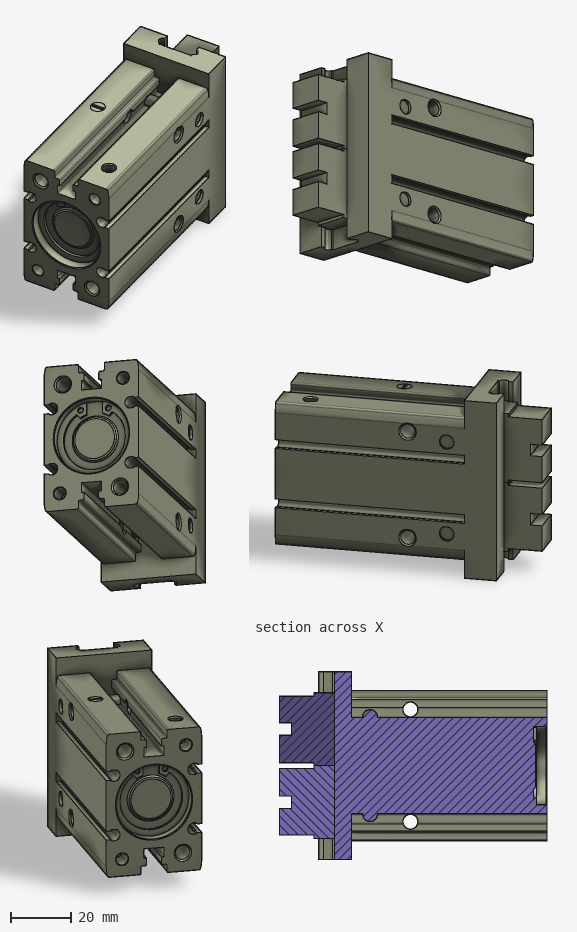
import cadquery as cq
TOTAL_LENGTH = 89.2
BODY_WIDTH = 33.0
BODY_HEIGHT = 50.2
BODY_LENGTH = 65.1

HEAD_HEIGHT = 62.6
HEAD_FRONT = 76.1

CORNER_START_Z = 21.5
CORNER_BULGE = (16.38, 23.1)
CORNER_END = (16.1, 24.5)
CORNER_TOP_X = 15.3
CORNER_RADIUS = 0.8

SLOT_MOUTH_WIDTH = 9.0
SLOT_NECK_WIDTH = 5.15
SLOT_FLOOR_WIDTH = 6.9
SLOT_LEDGE_Z = 22.1
SLOT_NECK_Z = 19.45
SLOT_FLOOR_Z = 16.1
SLOT_FILLET = 0.55
SLOT_FLOOR_FILLET = 0.3

GROOVE_DIAMETER = 3.95
GROOVE_Z = 10.45
GROOVE_CENTRE_X = 13.7
GROOVE_FLAT_END_X = 14.5
GROOVE_MOUTH_WIDTH = 3.1

PIN_DIAMETER = 5.0
PIN_Y = 59.0
PIN_Z = 16.17
PIN_RECESS = 1.0

M6_CORE = 4.92
M6_MOUTH = 6.0
M5_CORE = 4.13
M5_MOUTH = 5.0
SIDE_HOLE_Y = 45.55
SIDE_HOLE_Z = 18.7
REAR_M6_SPOT = (-9.95, 18.6)
REAR_M5_SPOT = (11.0, 19.1)
REAR_M5_MOUTH = 4.5
REAR_M6_DEPTH = 12.0
REAR_M5_DEPTH = 8.0
PORT_X = 10.2
PORT_Y = 10.6
PORT_DEPTH = 8.0

SCREW_DIAMETER = 5.0
SCREW_LENGTH = 5.0
SCREW_X = -10.2
SCREW_Y = 37.6
SCREW_SLOT_LENGTH = 4.0
SCREW_SLOT_WIDTH = 0.9
SCREW_SLOT_DEPTH = 1.0

BORE_DIAMETER = 26.0
BORE_CHAMFER = 0.3
BORE_DEPTH = 4.5
CAP_BASE_RADIUS = 8.05
CAP_EDGE_RADIUS = 7.5
CAP_FACE_RADIUS = 6.9
CAP_HEIGHT = 0.75
CAP_CHAMFER_HEIGHT = 0.25
RING_THICKNESS = 1.0
RING_INNER_DIAMETER = 21.55
RING_GAP = 5.65
EAR_INNER_DIAMETER = 18.0
EAR_TIP = (5.07, 7.56)
EAR_ROOT = (6.35, 8.98)
EAR_HOLE_DIAMETER = 2.0
EAR_HOLE_SPOT = (4.84, 10.18)

GUIDE_WIDTH = 12.3
GUIDE_FLOOR_Y = 70.85
GUIDE_RACE_Y = 72.95
GUIDE_RACE_DIAMETER = 3.0
GUIDE_RACE_INSET = 0.15
RIDGE_END_DIAMETER = 2.5
RIDGE_END_INSET = 0.5
RIDGE_END_LENGTH = 1.0

RAIL_FRONT = 77.7
RAIL_END_Z = 24.3
RAIL_CHAMFER = 0.3
FINGER_START_Z = 0.95
FINGER_END_Z = 23.2
NOTCH_Z = 12.2
NOTCH_WIDTH = 4.05
NOTCH_DEPTH = 4.0


def rear_plane(y):
    """Plane across the gripper at y; negative extrusions run towards the jaws."""
    return cq.Workplane("XZ", origin=(0, y, 0))


def box_between(low, high):
    """Box between two opposite corners."""
    size = [b - a for a, b in zip(low, high)]
    return cq.Workplane("XY").box(*size, centered=False).translate(low)


def chamfered_drill(start, direction, core, mouth, depth):
    """Drill with a 45 degree countersink at its start."""
    start = cq.Vector(*start)
    direction = cq.Vector(*direction)
    sink = (mouth - core) / 2
    drill = cq.Solid.makeCylinder(core / 2, depth, start, direction)
    cone = cq.Solid.makeCone(mouth / 2, core / 2, sink, start, direction)
    return cq.Workplane(drill.fuse(cone))


def mirrored_copies(shape):
    """The shape and its mirror images in X, in Z and in both."""
    pair = shape.union(shape.mirror("YZ"))
    return pair.union(pair.mirror("XY"))


def body_block():
    half_width = BODY_WIDTH / 2
    half_height = BODY_HEIGHT / 2
    quarter = (
        rear_plane(0)
        .lineTo(half_width, 0)
        .lineTo(half_width, CORNER_START_Z)
        .threePointArc(CORNER_BULGE, CORNER_END)
        .radiusArc((CORNER_TOP_X, half_height), -CORNER_RADIUS)
        .lineTo(0, half_height)
        .close()
        .extrude(-BODY_LENGTH)
    )
    return mirrored_copies(quarter)


def head_block():
    return box_between(
        (-BODY_WIDTH / 2, BODY_LENGTH, -HEAD_HEIGHT / 2),
        (BODY_WIDTH / 2, HEAD_FRONT, HEAD_HEIGHT / 2),
    )


def top_slot():
    mouth = SLOT_MOUTH_WIDTH / 2
    neck = SLOT_NECK_WIDTH / 2
    floor = SLOT_FLOOR_WIDTH / 2
    top = BODY_HEIGHT / 2
    edge = SLOT_FILLET
    corner = SLOT_FLOOR_FILLET
    half = (
        rear_plane(0)
        .moveTo(0, SLOT_FLOOR_Z)
        .lineTo(floor - corner, SLOT_FLOOR_Z)
        .radiusArc((floor, SLOT_FLOOR_Z + corner), -corner)
        .lineTo(floor, SLOT_NECK_Z - corner)
        .radiusArc((floor - corner, SLOT_NECK_Z), -corner)
        .lineTo(neck, SLOT_NECK_Z)
        .lineTo(neck, SLOT_LEDGE_Z - edge)
        .radiusArc((neck + edge, SLOT_LEDGE_Z), edge)
        .lineTo(mouth - edge, SLOT_LEDGE_Z)
        .radiusArc((mouth, SLOT_LEDGE_Z + edge), -edge)
        .lineTo(mouth, top - edge)
        .radiusArc((mouth + edge, top), edge)
        .lineTo(0, top)
        .close()
        .extrude(-BODY_LENGTH)
    )
    return half.union(half.mirror("YZ"))


def side_grooves():
    side = BODY_WIDTH / 2
    half_mouth = GROOVE_MOUTH_WIDTH / 2
    round_end = rear_plane(0).center(GROOVE_CENTRE_X, GROOVE_Z).circle(GROOVE_DIAMETER / 2)
    groove = round_end.extrude(-BODY_LENGTH)
    parallel = box_between(
        (GROOVE_CENTRE_X, 0, GROOVE_Z - GROOVE_DIAMETER / 2),
        (GROOVE_FLAT_END_X, BODY_LENGTH, GROOVE_Z + GROOVE_DIAMETER / 2),
    )
    mouth = box_between(
        (GROOVE_CENTRE_X, 0, GROOVE_Z - half_mouth),
        (side, BODY_LENGTH, GROOVE_Z + half_mouth),
    )
    return mirrored_copies(groove.union(parallel).union(mouth))


def cross_cylinder(diameter, x_low, x_high, y, z):
    """Cylinder along X."""
    start = cq.Vector(x_low, y, z)
    return cq.Workplane(cq.Solid.makeCylinder(diameter / 2, x_high - x_low, start, cq.Vector(1, 0, 0)))


def add_lever_pins(housing):
    side = BODY_WIDTH / 2
    pin_end = side - PIN_RECESS
    for z in (PIN_Z, -PIN_Z):
        housing = housing.union(cross_cylinder(PIN_DIAMETER, -pin_end, pin_end, PIN_Y, z))
        housing = housing.cut(cross_cylinder(PIN_DIAMETER, -side, -pin_end, PIN_Y, z))
        housing = housing.cut(cross_cylinder(PIN_DIAMETER, pin_end, side, PIN_Y, z))
    return housing


def drill_holes(housing):
    half_width = BODY_WIDTH / 2
    for z in (SIDE_HOLE_Z, -SIDE_HOLE_Z):
        for side in (1, -1):
            start = (side * half_width, SIDE_HOLE_Y, z)
            housing = housing.cut(chamfered_drill(start, (-side, 0, 0), M6_CORE, M6_MOUTH, half_width))
    for turn in (1, -1):
        m6_start = (turn * REAR_M6_SPOT[0], 0, turn * REAR_M6_SPOT[1])
        m5_start = (turn * REAR_M5_SPOT[0], 0, turn * REAR_M5_SPOT[1])
        housing = housing.cut(chamfered_drill(m6_start, (0, 1, 0), M6_CORE, M6_MOUTH, REAR_M6_DEPTH))
        housing = housing.cut(chamfered_drill(m5_start, (0, 1, 0), M5_CORE, REAR_M5_MOUTH, REAR_M5_DEPTH))
    port_start = (PORT_X, PORT_Y, BODY_HEIGHT / 2)
    return housing.cut(chamfered_drill(port_start, (0, 0, -1), M5_CORE, M5_MOUTH, PORT_DEPTH))


def bore():
    mouth = BORE_DIAMETER + 2 * BORE_CHAMFER
    return chamfered_drill((0, 0, 0), (0, 1, 0), BORE_DIAMETER, mouth, BORE_DEPTH)


def end_cap_boss():
    """Raised centre of the end cap: a tapered disc with a chamfered rim."""
    base_y = BORE_DEPTH
    edge_y = BORE_DEPTH - CAP_HEIGHT + CAP_CHAMFER_HEIGHT
    face_y = BORE_DEPTH - CAP_HEIGHT
    return (
        cq.Workplane("XY")
        .moveTo(0, base_y)
        .lineTo(CAP_BASE_RADIUS, base_y)
        .lineTo(CAP_EDGE_RADIUS, edge_y)
        .lineTo(CAP_FACE_RADIUS, face_y)
        .lineTo(0, face_y)
        .close()
        .revolve(360, (0, 0, 0), (0, 1, 0))
    )


def ring_blank(inner_diameter):
    blank = rear_plane(BORE_DEPTH).circle(BORE_DIAMETER / 2).circle(inner_diameter / 2)
    return blank.extrude(RING_THICKNESS)


def retaining_ring():
    tip_x, tip_z = EAR_TIP
    root_x, root_z = EAR_ROOT
    bore_radius = BORE_DIAMETER / 2
    ear_zone = (
        rear_plane(BORE_DEPTH)
        .polyline([
            (-tip_x, tip_z), (-root_x, root_z), (-root_x, bore_radius),
            (root_x, bore_radius), (root_x, root_z), (tip_x, tip_z), (0, 0),
        ])
        .close()
        .extrude(RING_THICKNESS)
    )
    ears = ring_blank(EAR_INNER_DIAMETER).intersect(ear_zone)
    ring = ring_blank(RING_INNER_DIAMETER).union(ears)
    gap = box_between(
        (-RING_GAP / 2, BORE_DEPTH - RING_THICKNESS, 0),
        (RING_GAP / 2, BORE_DEPTH, BORE_DIAMETER),
    )
    hole_x, hole_z = EAR_HOLE_SPOT
    holes = (
        rear_plane(BORE_DEPTH)
        .pushPoints([(hole_x, hole_z), (-hole_x, hole_z)])
        .circle(EAR_HOLE_DIAMETER / 2)
        .extrude(RING_THICKNESS)
    )
    return ring.cut(gap).cut(holes)


def upright_cylinders(diameter, x, z_low, z_high):
    """Two cylinders along Z on the line of the guide races, at +x and -x."""
    plane = cq.Workplane("XY", origin=(0, GUIDE_RACE_Y, z_low))
    return plane.pushPoints([(x, 0), (-x, 0)]).circle(diameter / 2).extrude(z_high - z_low)


def jaw_guide():
    half_width = GUIDE_WIDTH / 2
    top = HEAD_HEIGHT / 2
    channel = box_between((-half_width, GUIDE_FLOOR_Y, -top), (half_width, HEAD_FRONT, top))
    return channel.union(upright_cylinders(GUIDE_RACE_DIAMETER, half_width - GUIDE_RACE_INSET, -top, top))


def make_housing():
    housing = body_block().union(head_block())
    slot = top_slot()
    housing = housing.cut(slot).cut(slot.mirror("XY")).cut(side_grooves())
    housing = add_lever_pins(housing)
    housing = drill_holes(housing)
    housing = housing.cut(bore()).union(end_cap_boss()).union(retaining_ring())
    return housing.cut(jaw_guide()).cut(screw_blank())


def screw_blank():
    plane = cq.Workplane("XY", origin=(SCREW_X, SCREW_Y, BODY_HEIGHT / 2))
    return plane.circle(SCREW_DIAMETER / 2).extrude(-SCREW_LENGTH)


def make_screw():
    plane = cq.Workplane("XY", origin=(SCREW_X, SCREW_Y, BODY_HEIGHT / 2))
    slot = plane.rect(SCREW_SLOT_LENGTH, SCREW_SLOT_WIDTH).extrude(-SCREW_SLOT_DEPTH)
    return screw_blank().cut(slot)


def make_jaw():
    """The upper jaw: a rail in the guide and a notched finger."""
    half_width = GUIDE_WIDTH / 2
    rail = box_between((-half_width, GUIDE_FLOOR_Y, 0), (half_width, RAIL_FRONT, RAIL_END_Z))
    rail = rail.faces(">Y").edges("|Z").chamfer(RAIL_CHAMFER)
    ridge_end_z = RAIL_END_Z - RIDGE_END_LENGTH
    ridges = upright_cylinders(GUIDE_RACE_DIAMETER, half_width - GUIDE_RACE_INSET, 0, ridge_end_z)
    ridge_ends = upright_cylinders(RIDGE_END_DIAMETER, half_width - RIDGE_END_INSET, ridge_end_z, RAIL_END_Z)
    finger = box_between(
        (-half_width, GUIDE_FLOOR_Y, FINGER_START_Z),
        (half_width, TOTAL_LENGTH, FINGER_END_Z),
    )
    notch = box_between(
        (-half_width, TOTAL_LENGTH - NOTCH_DEPTH, NOTCH_Z - NOTCH_WIDTH / 2),
        (half_width, TOTAL_LENGTH, NOTCH_Z + NOTCH_WIDTH / 2),
    )
    return rail.union(ridges).union(ridge_ends).union(finger).cut(notch)


housing = make_housing()
screw = make_screw()
upper_jaw = make_jaw()
lower_jaw = upper_jaw.mirror("XY")

result = cq.Compound.makeCompound([housing.val(), screw.val(), upper_jaw.val(), lower_jaw.val()])